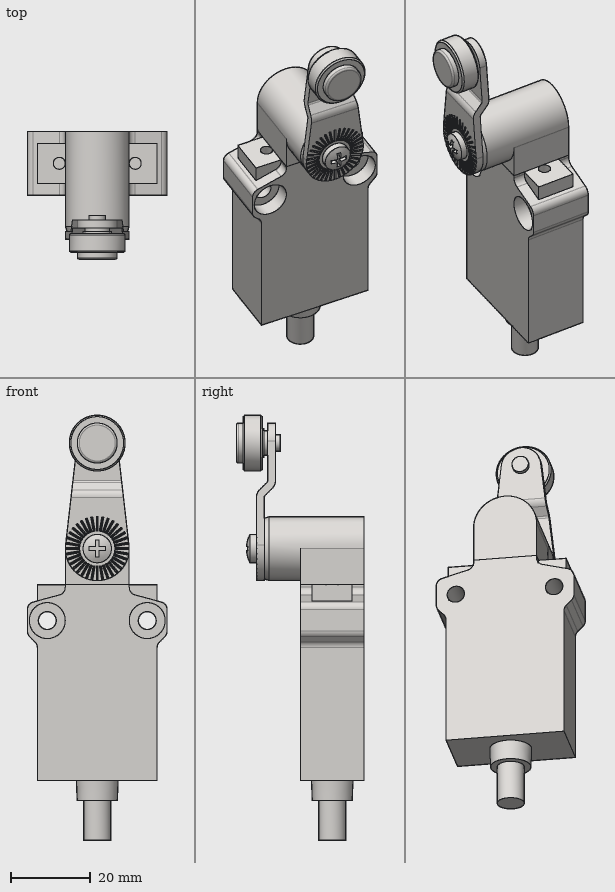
import cadquery as cq
import math


OVERLAP = 1.0

HOUSING_WIDTH = 30.0
HOUSING_DEPTH = 16.0
HOUSING_TOP = 49.0
EAR_WIDTH = 35.0
SHOULDER_SLOPE = 15.0
OUTLINE_RADIUS = 2.0
SHOULDER_INNER_Z = 46.8
EAR_BOTTOM_Z = 36.55

MOUNT_SPACING = 25.0
MOUNT_Z = 40.0
MOUNT_HOLE_DIA = 4.4
COUNTERBORE_DIA = 9.0
COUNTERBORE_DEPTH = 4.0

BLOCK_DEPTH_SIZE = 10.0
BLOCK_HOLE_X = 9.5
BLOCK_HOLE_DIA = 3.0
BLOCK_HOLE_DEPTH = 3.0

GLAND_TOP_RADIUS = 5.25
GLAND_BOTTOM_RADIUS = 5.05
GLAND_LENGTH = 5.0
CABLE_RADIUS = 3.4
CABLE_END_Z = -15.0

HEAD_RADIUS = 8.0
PIVOT_Z = 58.0
HEAD_LENGTH = 25.0
HEAD_CHAMFER_LENGTH = 1.2
HEAD_CHAMFER_RADIAL = 0.4

LEVER_THICKNESS = 2.0
LEVER_OFFSET = 2.85
LEVER_BOTTOM_RADIUS = HEAD_RADIUS
LEVER_TOP_RADIUS = 5.0
ROLLER_Z = 84.4
BEND_Z = 74.75
BEND_ANGLE = 45.0
BEND_INNER_RADIUS = 0.7
BEND_OUTER_RADIUS = BEND_INNER_RADIUS + LEVER_THICKNESS
LEVER_FRONT = HEAD_LENGTH + LEVER_THICKNESS
LEVER_TOP_FRONT = LEVER_FRONT - LEVER_OFFSET
LEVER_TOP_BACK = LEVER_TOP_FRONT - LEVER_THICKNESS

SERRATION_COUNT = 36
SERRATION_INNER_RADIUS = 4.4
SERRATION_WIDTH = 0.5
SERRATION_DEPTH = 0.15

SCREW_HEAD_RADIUS = 3.55
SCREW_RIM_HEIGHT = 1.6
SCREW_DOME_HEIGHT = 0.9
SCREW_SHANK_RADIUS = 2.0
SCREW_SHANK_IN_HEAD = 6.0
CROSS_LENGTH = 4.2
CROSS_WIDTH = 1.0
CROSS_DEPTH = 1.2

ROLLER_RADIUS = 7.0
ROLLER_BACK = 25.5
ROLLER_FRONT = 30.3
ROLLER_CHAMFER = 0.4
HUB_RADIUS = 3.6
HUB_BACK = 25.1
PIN_SHANK_RADIUS = 2.1
PIN_JOURNAL_RADIUS = 3.1
PIN_CAP_RADIUS = 5.0
PIN_CAP_FILLET = 0.5
PIN_BACK = 21.0
PIN_FRONT = 32.0


def front_plane(depth, z=0.0):
    """Plane at a depth, facing the front, with its origin on the middle plane at height z."""
    return cq.Workplane("XZ", origin=(0, -depth, z))


def cylinder(radius, start, end, z):
    """Cylinder along Y between two depths, with its axis at height z."""
    return front_plane(start, z).circle(radius).extrude(end - start)


def ear_plate():
    """Full-depth housing prism: straight body, mounting ears and sloped shoulders."""
    half_body = HOUSING_WIDTH / 2
    half_ear = EAR_WIDTH / 2
    shoulder_drop = (half_ear - HEAD_RADIUS) * math.tan(math.radians(SHOULDER_SLOPE))
    half_outline = [
        (half_body, 0),
        (half_body, EAR_BOTTOM_Z - (half_ear - half_body)),
        (half_ear, EAR_BOTTOM_Z),
        (half_ear, SHOULDER_INNER_Z - shoulder_drop),
        (HEAD_RADIUS, SHOULDER_INNER_Z),
        (HEAD_RADIUS, HOUSING_TOP),
    ]
    mirrored = [(-x, z) for x, z in reversed(half_outline)]
    plate = front_plane(0).polyline(half_outline + mirrored).close().extrude(HOUSING_DEPTH)
    ear_corners = plate.edges("|Y").edges(
        cq.selectors.BoxSelector(
            (-EAR_WIDTH, -HOUSING_DEPTH, OVERLAP),
            (EAR_WIDTH, 0, HOUSING_TOP - OVERLAP / 2),
        )
    )
    return ear_corners.fillet(OUTLINE_RADIUS)


def shoulder_blocks():
    """Rectangular bar across the shoulders that leaves one block on each side of the neck."""
    height = HOUSING_TOP - MOUNT_Z
    bar = cq.Workplane("XY", origin=(0, -HOUSING_DEPTH / 2, MOUNT_Z))
    return bar.rect(HOUSING_WIDTH, BLOCK_DEPTH_SIZE).extrude(height)


def gland_and_cable():
    gland = cq.Solid.makeCone(
        GLAND_BOTTOM_RADIUS,
        GLAND_TOP_RADIUS,
        GLAND_LENGTH,
        pnt=cq.Vector(0, -HOUSING_DEPTH / 2, -GLAND_LENGTH),
    )
    cable = (
        cq.Workplane("XY", origin=(0, -HOUSING_DEPTH / 2, CABLE_END_Z))
        .circle(CABLE_RADIUS)
        .extrude(-CABLE_END_Z)
    )
    return cable.union(cq.Workplane(gland))


def make_housing():
    body = ear_plate().union(shoulder_blocks()).union(gland_and_cable())
    return (
        body.cut(
            front_plane(0, MOUNT_Z)
            .rarray(MOUNT_SPACING, 1, 2, 1)
            .circle(MOUNT_HOLE_DIA / 2)
            .extrude(HOUSING_DEPTH)
        )
        .cut(
            front_plane(HOUSING_DEPTH - COUNTERBORE_DEPTH, MOUNT_Z)
            .rarray(MOUNT_SPACING, 1, 2, 1)
            .circle(COUNTERBORE_DIA / 2)
            .extrude(COUNTERBORE_DEPTH)
        )
        .cut(
            cq.Workplane("XY", origin=(0, -HOUSING_DEPTH / 2, HOUSING_TOP))
            .rarray(2 * BLOCK_HOLE_X, 1, 2, 1)
            .circle(BLOCK_HOLE_DIA / 2)
            .extrude(-BLOCK_HOLE_DEPTH)
        )
    )


def make_head():
    """Neck standing on the housing, with the long pivot barrel on top of it."""
    barrel = cylinder(HEAD_RADIUS, 0, HEAD_LENGTH, PIVOT_Z)
    barrel = barrel.faces("<Y").chamfer(HEAD_CHAMFER_LENGTH, HEAD_CHAMFER_RADIAL)
    neck = (
        front_plane(0, HOUSING_TOP)
        .rect(2 * HEAD_RADIUS, PIVOT_Z - HOUSING_TOP, centered=(True, False))
        .extrude(HOUSING_DEPTH)
    )
    return barrel.union(neck)


def lever_outline():
    """Front outline: a large and a small round end joined by their tangents."""
    tilt = math.asin((LEVER_BOTTOM_RADIUS - LEVER_TOP_RADIUS) / (ROLLER_Z - PIVOT_Z))
    bottom_x = LEVER_BOTTOM_RADIUS * math.cos(tilt)
    bottom_z = PIVOT_Z + LEVER_BOTTOM_RADIUS * math.sin(tilt)
    top_x = LEVER_TOP_RADIUS * math.cos(tilt)
    top_z = ROLLER_Z + LEVER_TOP_RADIUS * math.sin(tilt)
    return (
        front_plane(LEVER_TOP_BACK)
        .moveTo(bottom_x, bottom_z)
        .lineTo(top_x, top_z)
        .threePointArc((0, ROLLER_Z + LEVER_TOP_RADIUS), (-top_x, top_z))
        .lineTo(-bottom_x, bottom_z)
        .threePointArc((0, PIVOT_Z - LEVER_BOTTOM_RADIUS), (bottom_x, bottom_z))
        .close()
        .extrude(LEVER_FRONT - LEVER_TOP_BACK)
    )


def lever_strip():
    """Side shape: a strip with a 45-degree joggle and rounded bends."""
    low_z = PIVOT_Z - LEVER_BOTTOM_RADIUS - OVERLAP
    high_z = ROLLER_Z + LEVER_TOP_RADIUS + OVERLAP
    back_bend_z = BEND_Z - LEVER_THICKNESS * math.tan(math.radians(BEND_ANGLE / 2))
    front_low_bend = (-LEVER_FRONT, BEND_Z - LEVER_OFFSET)
    front_high_bend = (-LEVER_TOP_FRONT, BEND_Z)
    back_high_bend = (-LEVER_TOP_BACK, back_bend_z)
    back_low_bend = (-HEAD_LENGTH, back_bend_z - LEVER_OFFSET)
    strip = (
        cq.Workplane("YZ")
        .polyline(
            [
                (-LEVER_FRONT, low_z),
                front_low_bend,
                front_high_bend,
                (-LEVER_TOP_FRONT, high_z),
                (-LEVER_TOP_BACK, high_z),
                back_high_bend,
                back_low_bend,
                (-HEAD_LENGTH, low_z),
            ]
        )
        .close()
        .extrude(LEVER_BOTTOM_RADIUS + OVERLAP, both=True)
    )
    bend_radii = [
        (front_low_bend, BEND_OUTER_RADIUS),
        (front_high_bend, BEND_INNER_RADIUS),
        (back_high_bend, BEND_OUTER_RADIUS),
        (back_low_bend, BEND_INNER_RADIUS),
    ]
    for (y, z), radius in bend_radii:
        strip = strip.edges(cq.selectors.NearestToPointSelector((0, y, z))).fillet(radius)
    return strip


def serration_groove(angle):
    """One radial V-groove cutter on the lever front, at an angle about the pivot."""
    length = LEVER_BOTTOM_RADIUS - SERRATION_INNER_RADIUS
    return (
        cq.Workplane("YZ", origin=(SERRATION_INNER_RADIUS, -LEVER_FRONT, PIVOT_Z))
        .polyline([(0, -SERRATION_WIDTH / 2), (0, SERRATION_WIDTH / 2), (SERRATION_DEPTH, 0)])
        .close()
        .extrude(length)
        .rotate((0, 0, PIVOT_Z), (0, 1, PIVOT_Z), angle)
    )


def make_lever():
    lever = lever_outline().intersect(lever_strip())
    grooves = [serration_groove(i * 360 / SERRATION_COUNT).val() for i in range(SERRATION_COUNT)]
    return lever.cut(cq.Workplane(cq.Compound.makeCompound(grooves)))


def make_screw():
    """Domed cross-recess screw holding the lever on the barrel."""
    shank_end = HEAD_LENGTH - SCREW_SHANK_IN_HEAD
    rim = LEVER_FRONT + SCREW_RIM_HEIGHT
    crown = rim + SCREW_DOME_HEIGHT
    dome_radius = (SCREW_HEAD_RADIUS**2 + SCREW_DOME_HEIGHT**2) / (2 * SCREW_DOME_HEIGHT)
    mid_radius = SCREW_HEAD_RADIUS / 2
    mid_depth = crown - dome_radius + math.sqrt(dome_radius**2 - mid_radius**2)
    screw = (
        cq.Workplane("XY", origin=(0, 0, PIVOT_Z))
        .moveTo(0, -LEVER_FRONT)
        .lineTo(SCREW_HEAD_RADIUS, -LEVER_FRONT)
        .lineTo(SCREW_HEAD_RADIUS, -rim)
        .threePointArc((mid_radius, -mid_depth), (0, -crown))
        .close()
        .revolve(360, (0, 0), (0, 1))
    )
    screw = screw.union(cylinder(SCREW_SHANK_RADIUS, shank_end, LEVER_FRONT, PIVOT_Z))
    for width, height in [(CROSS_LENGTH, CROSS_WIDTH), (CROSS_WIDTH, CROSS_LENGTH)]:
        slot = front_plane(crown - CROSS_DEPTH, PIVOT_Z).rect(width, height).extrude(CROSS_DEPTH)
        screw = screw.cut(slot)
    return screw


def make_roller():
    roller = cylinder(ROLLER_RADIUS, ROLLER_BACK, ROLLER_FRONT, ROLLER_Z)
    roller = roller.edges().chamfer(ROLLER_CHAMFER)
    hub = cylinder(HUB_RADIUS, HUB_BACK, ROLLER_FRONT, ROLLER_Z)
    bore = cylinder(PIN_JOURNAL_RADIUS, HUB_BACK, ROLLER_FRONT, ROLLER_Z)
    return roller.union(hub).cut(bore)


def make_pin():
    """Stepped pin: shank through the lever, journal inside the roller, cap in front."""
    shank = cylinder(PIN_SHANK_RADIUS, PIN_BACK, LEVER_TOP_FRONT, ROLLER_Z)
    journal = cylinder(PIN_JOURNAL_RADIUS, LEVER_TOP_FRONT, ROLLER_FRONT, ROLLER_Z)
    cap = cylinder(PIN_CAP_RADIUS, ROLLER_FRONT, PIN_FRONT, ROLLER_Z)
    cap = cap.faces("<Y").edges().fillet(PIN_CAP_FILLET)
    return shank.union(journal).union(cap)


screw_hole = cylinder(SCREW_SHANK_RADIUS, HEAD_LENGTH - SCREW_SHANK_IN_HEAD, LEVER_FRONT, PIVOT_Z)
pin_hole = cylinder(PIN_SHANK_RADIUS, LEVER_TOP_BACK, LEVER_TOP_FRONT, ROLLER_Z)

housing = make_housing()
head = make_head().cut(screw_hole)
lever = make_lever().cut(screw_hole).cut(pin_hole)
screw = make_screw()
roller = make_roller()
pin = make_pin()

result = cq.Compound.makeCompound(
    [housing.val(), head.val(), lever.val(), screw.val(), roller.val(), pin.val()]
)